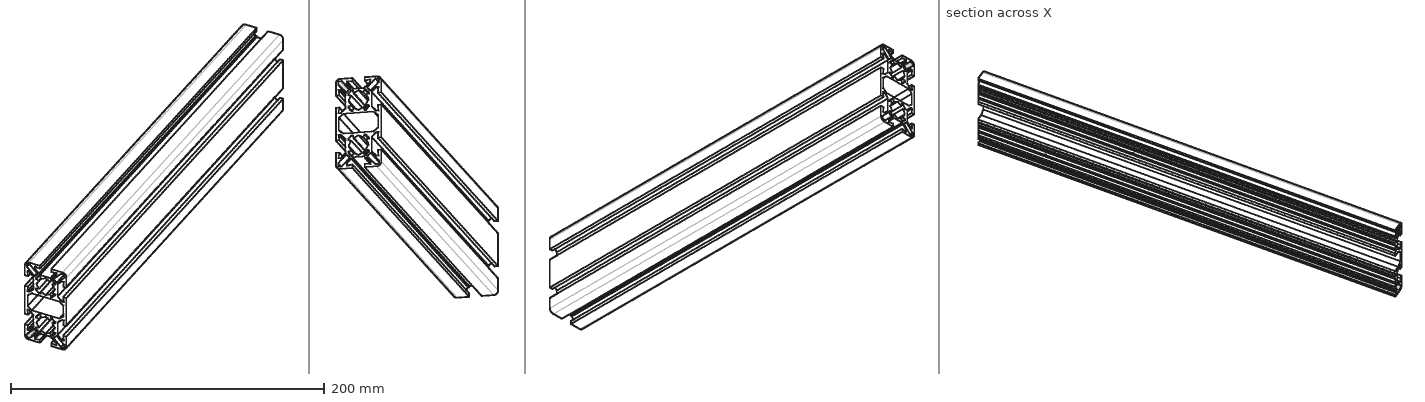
import cadquery as cq

length = 300.0
cell = 30.0
half_cell = cell / 2
outer_radius = 3.0

mouth_width = 8.0
mouth_half = mouth_width / 2
lip_inner_tip = 12.5
lip_inner_root = 13.2
slot_half = 7.8
slot_floor = 8.7
strut_offset = 4.0
recess_floor = 7.8

hollow_width = 3.3
hollow_start = 9.5
hollow_limit = 13.5
hollow_radius = 1.0

bore_half = 7.0
bore_chamfer = 2.5
tooth_root = 6.5
tooth_tip = 4.8
tip_offset = 3.3
tooth_foot = 4.0

chamber_half_width = 13.0
chamber_half_height = 6.5
chamber_chamfer_width = 3.0
chamber_chamfer_height = 2.5

QUARTER_TURN = 90


def prism(points):
    """Full-length solid with the given X-Z outline."""
    return cq.Workplane("XZ").polyline(points).close().extrude(length / 2, both=True)


def box(width, height):
    """Full-length bar centred on the Y axis."""
    return cq.Workplane("XZ").rect(width, height).extrude(length / 2, both=True)


def turned(solid, angle):
    """Rotate a solid about the Y axis."""
    return solid.rotate((0, 0, 0), (0, 1, 0), angle)


def slot():
    """T-slot open towards +Z."""
    strut_foot = slot_floor - strut_offset
    strut_top = slot_half + strut_offset
    right = [
        (mouth_half, half_cell),
        (mouth_half, lip_inner_tip),
        (slot_half, lip_inner_root),
        (slot_half, strut_top),
        (strut_foot, slot_floor),
    ]
    left = [(-x, z) for x, z in reversed(right)]
    return prism(right + left)


def floor_recess():
    """Shallow channel in a slot floor, under the slot mouth."""
    depth = slot_floor - recess_floor
    return box(mouth_width, depth).translate((0, 0, recess_floor + depth / 2))


def corner_hollow():
    """Diagonal hollow in the +X +Z corner, following the rounded outer corner."""
    reach = cell
    bar = box(reach, hollow_width).translate((hollow_start + reach / 2, 0, 0))
    limit = box(2 * hollow_limit, 2 * hollow_limit).edges("|Y").fillet(hollow_radius)
    return turned(bar, -QUARTER_TURN / 2).intersect(limit)


def bore():
    """Chamfered square bore with two teeth on each side."""
    body = box(2 * bore_half, 2 * bore_half).edges("|Y").chamfer(bore_chamfer)
    teeth = prism([
        (tooth_foot, bore_half),
        (tip_offset, tooth_tip),
        (0, tooth_root),
        (-tip_offset, tooth_tip),
        (-tooth_foot, bore_half),
    ])
    for turn in range(4):
        body = body.cut(turned(teeth, turn * QUARTER_TURN))
    return body


def upper_cell_cuts():
    """Everything removed from the upper cell, placed at the cell centre."""
    cuts = bore().union(slot()).union(floor_recess())
    for side in (-1, 1):
        cuts = cuts.union(turned(slot(), side * QUARTER_TURN))
    hollow = corner_hollow()
    cuts = cuts.union(hollow).union(hollow.mirror("YZ"))
    return cuts.translate((0, 0, half_cell))


def chamber():
    """Chamfered rectangular chamber in the middle of the profile."""
    flat_half_width = chamber_half_width - chamber_chamfer_width
    wall_half_height = chamber_half_height - chamber_chamfer_height
    top = [
        (chamber_half_width, wall_half_height),
        (flat_half_width, chamber_half_height),
        (-flat_half_width, chamber_half_height),
        (-chamber_half_width, wall_half_height),
    ]
    bottom = [(x, -z) for x, z in reversed(top)]
    return prism(top + bottom)


upper_cuts = upper_cell_cuts()
blank = box(cell, 2 * cell).edges("|Y").fillet(outer_radius)
result = blank.cut(upper_cuts).cut(upper_cuts.mirror("XY")).cut(chamber())